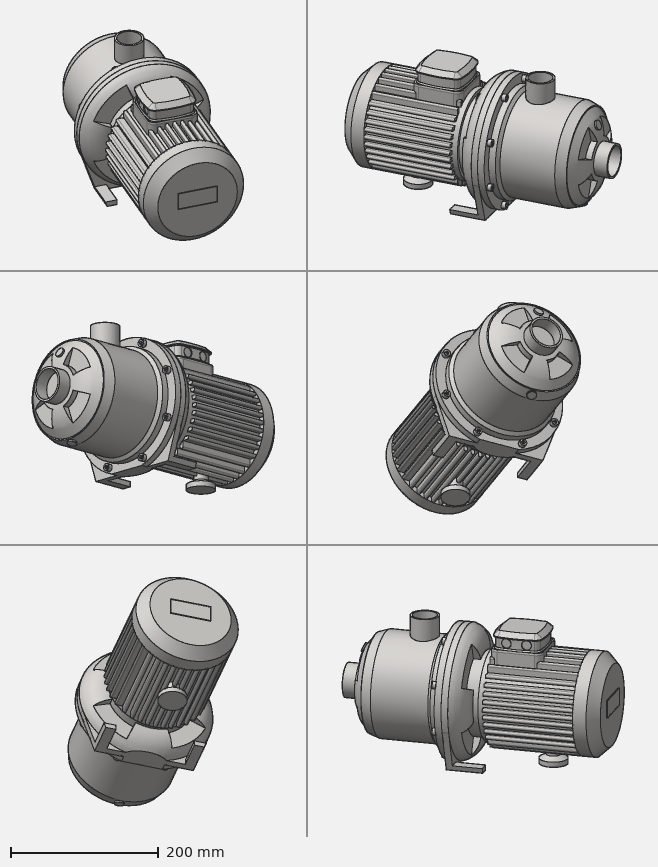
import cadquery as cq
import math


HUB_X = 20.0
DOME_END_X = 40.0
BARREL_START_X = 55.0
BARREL_END_X = 136.0
COLLAR_X = 140.5
FLANGE_X = 150.8
PLATE_X = 160.5
LANTERN_X = 170.0
LANTERN_END_X = 195.0
MOTOR_X = 203.8
FIN_X = 212.0
FAN_COVER_X = 339.5
FAN_CONE_X = 358.7
FAN_END_X = 374.5
OVERALL_LENGTH = 376.0

GROUND_Z = -90.2

INLET_RADIUS = 48.5 / 2
INLET_BORE_RADIUS = 42.5 / 2
INLET_BORE_DEPTH = 20.0
DOME_RADIUS = 136.0 / 2
SHOULDER_RADIUS = 70.0
BARREL_RADIUS = 150.0 / 2
COLLAR_RADIUS = 160.0 / 2
FLANGE_RADIUS = 94.8
POCKET_FLOOR_X = 29.7
POCKET_INNER_RADIUS = 31.2
POCKET_EDGE_ANGLE = 20.0

OUTLET_X = 109.8
OUTLET_TOP_Z = 103.8
OUTLET_RADIUS = 40.0 / 2
OUTLET_BORE_RADIUS = 34.0 / 2
OUTLET_BORE_DEPTH = 21.8

PLUG_RADIUS = 13.5 / 2
PLUG_HEIGHT = 2.3
PLUG_ROOT = 3.8
VENT_PLUG_ANGLE = 25.0

PLATE_RADIUS = 190.0 / 2
NECK_RADIUS = 120.0 / 2
LANTERN_TIP_RADIUS = 61.0
WINDOW_FLOOR_X = 185.0
WINDOW_EDGE_ANGLE = 22.0
FOOT_HALF_WIDTH = 70.0
FOOT_THICKNESS = 7.5
FOOT_ARM_WIDTH = 14.3

CORE_RADIUS = 130.0 / 2
MOTOR_RADIUS = 145.0 / 2
FAN_END_RADIUS = 57.5
FINS_PER_SIDE = 9
FIN_PITCH = 11.0
FIN_WIDTH = 5.3
FIN_ROOT = 37.5
NAMEPLATE_WIDTH = 56.5
NAMEPLATE_HEIGHT = 25.0
NAMEPLATE_Z = 3.5

SUPPORT_X = 291.5
SUPPORT_POST_RADIUS = 20.0 / 2
SUPPORT_PAD_RADIUS = 40.0 / 2
SUPPORT_PAD_HEIGHT = 7.5
SUPPORT_CONE_HEIGHT = 5.3
SUPPORT_POST_ROOT = 3.8

BOX_LENGTH = 73.5
BOX_X = FIN_X + BOX_LENGTH / 2
BOX_WIDTH = 72.2
BOX_CORNER_RADIUS = 10.5
BOX_TOP_Z = 76.5
BOX_EDGE_DROP = 3.0
BOX_EDGE_INSET = 0.8
LID_HALF_WIDTH = 34.2
LID_CORNER = 30.5
LID_CORNER_RADIUS = 8.3
LID_WALL_Z = 78.5
LID_SKIRT = 1.5
LID_RIM_Z = 93.2
LID_SLOPE_Z = 94.8
LID_TOP_Z = 101.5
LID_OVERHANG = 2.5
LID_SLOPE_ANGLE = 49.0
KNOCKOUT_RADIUS = 13.5 / 2
KNOCKOUT_SPACING = 28.5
KNOCKOUT_Z = 85.7
KNOCKOUT_FLOOR_Y = -32.5

SCREW_COUNT = 8
SCREW_CIRCLE_RADIUS = 87.2
SCREW_HEAD_RADIUS = 10.0 / 2
SCREW_HEAD_HEIGHT = 6.0
SOCKET_DIAMETER = 5.3
SOCKET_DEPTH = 3.0

OPENING_ANGLES = (45, 135, 225, 315)


def cylinder_x(start, end, radius):
    """Round bar on the shaft axis between two stations."""
    return cq.Workplane("YZ", origin=(start, 0, 0)).circle(radius).extrude(end - start)


def revolve_x(profile):
    """Turn a closed profile drawn as (x, radius) about the shaft axis."""
    return profile.close().revolve(360, (0, 0, 0), (1, 0, 0))


def sector_x(start, end, inner, outer, edge_angle, middle_angle):
    """Ring sector along the shaft axis, between two rib edges and centred on an angle."""
    half = math.radians(45 - edge_angle)
    middle = math.radians(middle_angle)

    def at(radius, angle):
        return (radius * math.cos(angle), radius * math.sin(angle))

    return (
        cq.Workplane("YZ", origin=(start, 0, 0))
        .moveTo(*at(inner, middle - half))
        .lineTo(*at(outer, middle - half))
        .threePointArc(at(outer, middle), at(outer, middle + half))
        .lineTo(*at(inner, middle + half))
        .threePointArc(at(inner, middle), at(inner, middle - half))
        .close()
        .extrude(end - start)
    )


def arc_with_upright_end(tip_x, tip_radius, edge_x, edge_radius):
    """Radius and middle point of an arc that is square to the axis at its tip."""
    run = abs(edge_x - tip_x)
    rise = edge_radius - tip_radius
    radius = (run ** 2 + rise ** 2) / (2 * run)
    centre_x = tip_x + math.copysign(radius, edge_x - tip_x)
    half_sweep = math.asin(rise / radius) / 2
    middle_x = centre_x + math.copysign(radius * math.cos(half_sweep), tip_x - centre_x)
    return radius, (middle_x, tip_radius + radius * math.sin(half_sweep))


def below_ground():
    """Block that cuts round parts off level with the ground."""
    return (
        cq.Workplane("XY", origin=(OVERALL_LENGTH / 2, 0, GROUND_Z))
        .rect(OVERALL_LENGTH, OVERALL_LENGTH)
        .extrude(-FLANGE_RADIUS)
    )


def make_plug(x, z, direction_x, direction_z):
    """Round plug that stands proud of the wall point (x, z), along a unit direction."""
    root = (x - PLUG_ROOT * direction_x, 0, z - PLUG_ROOT * direction_z)
    plane = cq.Plane(origin=root, xDir=(0, 1, 0), normal=(direction_x, 0, direction_z))
    return cq.Workplane(plane).circle(PLUG_RADIUS).extrude(PLUG_ROOT + PLUG_HEIGHT)


def make_casing():
    dome_arc_radius, dome_middle = arc_with_upright_end(HUB_X, INLET_RADIUS, DOME_END_X, DOME_RADIUS)
    casing = revolve_x(
        cq.Workplane("XY")
        .moveTo(HUB_X, 0)
        .lineTo(HUB_X, INLET_RADIUS)
        .threePointArc(dome_middle, (DOME_END_X, DOME_RADIUS))
        .lineTo(DOME_END_X, SHOULDER_RADIUS)
        .lineTo(BARREL_START_X, BARREL_RADIUS)
        .lineTo(BARREL_END_X, BARREL_RADIUS)
        .lineTo(COLLAR_X, COLLAR_RADIUS)
        .lineTo(FLANGE_X, COLLAR_RADIUS)
        .lineTo(FLANGE_X, FLANGE_RADIUS)
        .lineTo(PLATE_X, FLANGE_RADIUS)
        .lineTo(PLATE_X, 0)
    )
    for middle_angle in OPENING_ANGLES:
        casing = casing.cut(
            sector_x(0, POCKET_FLOOR_X, POCKET_INNER_RADIUS, BARREL_RADIUS, POCKET_EDGE_ANGLE, middle_angle)
        )

    casing = casing.union(cylinder_x(0, HUB_X, INLET_RADIUS))
    casing = casing.cut(cylinder_x(0, INLET_BORE_DEPTH, INLET_BORE_RADIUS))

    outlet = cq.Workplane("XY", origin=(OUTLET_X, 0, 0)).circle(OUTLET_RADIUS).extrude(OUTLET_TOP_Z)
    outlet_bore = (
        cq.Workplane("XY", origin=(OUTLET_X, 0, OUTLET_TOP_Z))
        .circle(OUTLET_BORE_RADIUS)
        .extrude(-OUTLET_BORE_DEPTH)
    )
    casing = casing.union(outlet).cut(outlet_bore)

    tilt = math.radians(VENT_PLUG_ANGLE)
    vent_x = HUB_X + dome_arc_radius * (1 - math.cos(tilt))
    vent_z = INLET_RADIUS + dome_arc_radius * math.sin(tilt)
    casing = casing.union(make_plug(vent_x, vent_z, -math.cos(tilt), math.sin(tilt)))

    slope = math.atan2(BARREL_RADIUS - SHOULDER_RADIUS, BARREL_START_X - DOME_END_X)
    drain_x = (DOME_END_X + BARREL_START_X) / 2
    drain_z = -(SHOULDER_RADIUS + BARREL_RADIUS) / 2
    casing = casing.union(make_plug(drain_x, drain_z, -math.sin(slope), -math.cos(slope)))
    return casing.cut(below_ground())


def make_bracket():
    _, lantern_middle = arc_with_upright_end(LANTERN_END_X, LANTERN_TIP_RADIUS, LANTERN_X, FLANGE_RADIUS)
    lantern = revolve_x(
        cq.Workplane("XY")
        .moveTo(LANTERN_X, 0)
        .lineTo(LANTERN_X, FLANGE_RADIUS)
        .threePointArc(lantern_middle, (LANTERN_END_X, LANTERN_TIP_RADIUS))
        .lineTo(LANTERN_END_X, 0)
    )
    for middle_angle in OPENING_ANGLES:
        lantern = lantern.cut(
            sector_x(WINDOW_FLOOR_X, MOTOR_X, NECK_RADIUS / 2, FLANGE_RADIUS, WINDOW_EDGE_ANGLE, middle_angle)
        )
    lantern = lantern.cut(below_ground()).union(cylinder_x(LANTERN_X, MOTOR_X, NECK_RADIUS))

    corner_distance = math.hypot(FOOT_HALF_WIDTH, GROUND_Z)
    tangent_angle = math.atan2(GROUND_Z, FOOT_HALF_WIDTH) + math.acos(PLATE_RADIUS / corner_distance)
    tangent_y = PLATE_RADIUS * math.cos(tangent_angle)
    tangent_z = PLATE_RADIUS * math.sin(tangent_angle)
    plate = (
        cq.Workplane("YZ", origin=(PLATE_X, 0, 0))
        .moveTo(-FOOT_HALF_WIDTH, GROUND_Z)
        .lineTo(FOOT_HALF_WIDTH, GROUND_Z)
        .lineTo(tangent_y, tangent_z)
        .threePointArc((0, PLATE_RADIUS), (-tangent_y, tangent_z))
        .close()
        .extrude(LANTERN_X - PLATE_X)
    )
    bracket = plate.union(lantern)

    foot_top_y = FOOT_HALF_WIDTH + FOOT_THICKNESS * math.tan(-tangent_angle)
    foot_inner_y = FOOT_HALF_WIDTH - FOOT_ARM_WIDTH
    foot_top_z = GROUND_Z + FOOT_THICKNESS
    for side in (-1, 1):
        arm = (
            cq.Workplane("YZ", origin=(LANTERN_X, 0, 0))
            .polyline([
                (side * foot_inner_y, GROUND_Z),
                (side * FOOT_HALF_WIDTH, GROUND_Z),
                (side * foot_top_y, foot_top_z),
                (side * foot_inner_y, foot_top_z),
            ])
            .close()
            .extrude(FIN_X - LANTERN_X)
        )
        bracket = bracket.union(arm)
    return bracket


def make_fin(offset, turn):
    """Cooling fin with a round tip that touches the motor's outer circle from inside."""
    half = FIN_WIDTH / 2
    tip_centre = math.sqrt((MOTOR_RADIUS - half) ** 2 - offset ** 2)
    return (
        cq.Workplane("YZ", origin=(FIN_X, 0, 0))
        .moveTo(offset - half, FIN_ROOT)
        .lineTo(offset - half, tip_centre)
        .threePointArc((offset, tip_centre + half), (offset + half, tip_centre))
        .lineTo(offset + half, FIN_ROOT)
        .close()
        .extrude(FAN_COVER_X - FIN_X)
        .rotate((0, 0, 0), (1, 0, 0), turn)
    )


def make_motor():
    motor = cylinder_x(MOTOR_X, FAN_COVER_X, CORE_RADIUS)
    for turn in (0, 90, 180, 270):
        for number in range(FINS_PER_SIDE):
            offset = (number - (FINS_PER_SIDE - 1) / 2) * FIN_PITCH
            motor = motor.union(make_fin(offset, turn))

    fan_cover = revolve_x(
        cq.Workplane("XY")
        .moveTo(FAN_COVER_X, 0)
        .lineTo(FAN_COVER_X, MOTOR_RADIUS)
        .lineTo(FAN_CONE_X, MOTOR_RADIUS)
        .lineTo(FAN_END_X, FAN_END_RADIUS)
        .lineTo(FAN_END_X, 0)
    )
    nameplate = (
        cq.Workplane("YZ", origin=(FAN_END_X, 0, NAMEPLATE_Z))
        .rect(NAMEPLATE_WIDTH, NAMEPLATE_HEIGHT)
        .extrude(OVERALL_LENGTH - FAN_END_X)
    )
    return motor.union(fan_cover).union(nameplate)


def make_support():
    pad_top = GROUND_Z + SUPPORT_PAD_HEIGHT
    cone_top = pad_top + SUPPORT_CONE_HEIGHT
    post_top = SUPPORT_POST_ROOT - CORE_RADIUS
    return (
        cq.Workplane("XZ")
        .moveTo(0, GROUND_Z)
        .lineTo(SUPPORT_PAD_RADIUS, GROUND_Z)
        .lineTo(SUPPORT_PAD_RADIUS, pad_top)
        .lineTo(SUPPORT_POST_RADIUS, cone_top)
        .lineTo(SUPPORT_POST_RADIUS, post_top)
        .lineTo(0, post_top)
        .close()
        .revolve(360, (0, 0, 0), (0, 1, 0))
        .translate((SUPPORT_X, 0, 0))
    )


def lid_outline(bottom_z, overhang):
    """Rounded square with bulged sides, grown outwards by an overhang."""
    corner = LID_CORNER + overhang
    middle = LID_HALF_WIDTH + overhang
    sketch = (
        cq.Sketch()
        .arc((-corner, -corner), (0, -middle), (corner, -corner))
        .arc((corner, -corner), (middle, 0), (corner, corner))
        .arc((corner, corner), (0, middle), (-corner, corner))
        .arc((-corner, corner), (-middle, 0), (-corner, -corner))
        .assemble()
        .vertices()
        .fillet(LID_CORNER_RADIUS + overhang)
    )
    return cq.Workplane("XY", origin=(BOX_X, 0, bottom_z)).placeSketch(sketch)


def make_terminal_box():
    box = (
        cq.Workplane("XY", origin=(BOX_X, 0, 0))
        .rect(BOX_LENGTH, BOX_WIDTH)
        .extrude(BOX_TOP_Z)
        .edges("|Z")
        .fillet(BOX_CORNER_RADIUS)
        .faces(">Z")
        .chamfer(BOX_EDGE_DROP, BOX_EDGE_INSET)
    )
    skirt_height = LID_WALL_Z - BOX_TOP_Z
    skirt_angle = math.degrees(math.atan2(LID_SKIRT, skirt_height))
    skirt = lid_outline(BOX_TOP_Z, LID_SKIRT).extrude(skirt_height, taper=skirt_angle)
    wall = lid_outline(LID_WALL_Z, 0).extrude(LID_RIM_Z - LID_WALL_Z)
    rim = lid_outline(LID_RIM_Z, LID_OVERHANG).extrude(LID_SLOPE_Z - LID_RIM_Z)
    roof = lid_outline(LID_SLOPE_Z, LID_OVERHANG).extrude(LID_TOP_Z - LID_SLOPE_Z, taper=LID_SLOPE_ANGLE)
    knockouts = (
        cq.Workplane("XZ", origin=(BOX_X, KNOCKOUT_FLOOR_Y, KNOCKOUT_Z))
        .pushPoints([(-KNOCKOUT_SPACING / 2, 0), (KNOCKOUT_SPACING / 2, 0)])
        .circle(KNOCKOUT_RADIUS)
        .extrude(LID_HALF_WIDTH + KNOCKOUT_FLOOR_Y)
    )
    return box.union(skirt).union(wall.cut(knockouts)).union(rim).union(roof)


def make_screw(angle):
    """Socket-head screw seated on the casing flange."""
    seat_y = SCREW_CIRCLE_RADIUS * math.cos(math.radians(angle))
    seat_z = SCREW_CIRCLE_RADIUS * math.sin(math.radians(angle))
    head_face = cq.Workplane("YZ", origin=(FLANGE_X - SCREW_HEAD_HEIGHT, seat_y, seat_z))
    head = head_face.circle(SCREW_HEAD_RADIUS).extrude(SCREW_HEAD_HEIGHT)
    socket = head_face.polygon(6, SOCKET_DIAMETER).extrude(SOCKET_DEPTH)
    return head.cut(socket)


pump = (
    make_casing()
    .union(make_bracket())
    .union(make_motor().union(make_terminal_box()))
    .union(make_support())
)

screws = [make_screw(360 / SCREW_COUNT * (number + 0.5)) for number in range(SCREW_COUNT)]

result = cq.Compound.makeCompound([pump.val(), *[screw.val() for screw in screws]])